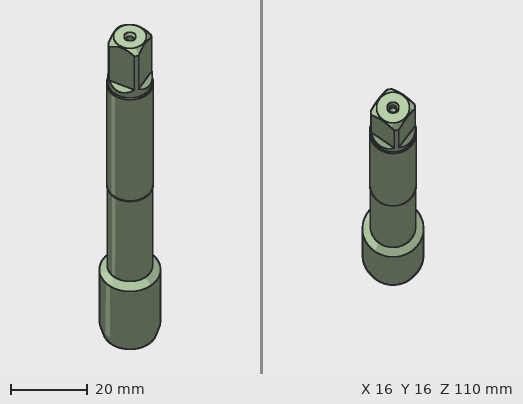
import cadquery as cq
import math

total_length = 110.0
end_point_height = 0.4
lead_length = 3.7
thread_length = 23.0
neck_start = 24.6
shank_start = 54.9
shank_end = 92.6
shank_bevel = 0.4

thread_diameter = 16.0
lead_end_diameter = 14.2
neck_diameter = 11.9
shank_diameter = 12.2
drive_diameter = 11.7

square_width = 9.0
square_length = 14.1
tip_diameter = 8.6
tip_bevel = (drive_diameter - tip_diameter) / 2

centre_diameter = 2.0
centre_mouth_diameter = 3.1
centre_depth = 2.8
centre_half_angle = math.radians(30)
drill_point_half_angle = math.radians(60)


def turned(profile):
    """Revolve (diameter, height) steps about Z; profiles start and end on the axis."""
    outline = [(diameter / 2, height) for diameter, height in profile]
    return cq.Workplane("XZ").polyline(outline).close().revolve(360, (0, 0), (0, 1))


def make_thread_section():
    """Plain threaded section with a tapered lead and a shallow conical end."""
    return turned([
        (0, 0),
        (lead_end_diameter, end_point_height),
        (thread_diameter, lead_length),
        (thread_diameter, thread_length),
        (0, thread_length),
    ])


def make_square_envelope():
    """Square prism that spreads at 45 degrees below the flats to clear the shank."""
    flats_bottom = total_length - square_length
    spread = (shank_diameter - square_width) / 2
    spread_bottom = flats_bottom - spread
    half_square = square_width / 2
    half_base = shank_diameter / 2
    outline = [
        (-half_base, thread_length),
        (half_base, thread_length),
        (half_base, spread_bottom),
        (half_square, flats_bottom),
        (half_square, total_length),
        (-half_square, total_length),
        (-half_square, flats_bottom),
        (-half_base, spread_bottom),
    ]
    across_x = cq.Workplane("XZ").polyline(outline).close().extrude(thread_diameter, both=True)
    across_y = across_x.rotate((0, 0, 0), (0, 0, 1), 90)
    collar = cq.Workplane("XY").workplane(offset=thread_length).circle(thread_diameter / 2)
    collar = collar.extrude(neck_start - thread_length)
    return across_x.intersect(across_y).union(collar)


def make_centre_hole():
    """Countersunk centre hole with a conical drill point."""
    countersink_depth = (centre_mouth_diameter - centre_diameter) / 2 / math.tan(centre_half_angle)
    point_length = centre_diameter / 2 / math.tan(drill_point_half_angle)
    drill_bottom = total_length - centre_depth
    return turned([
        (0, drill_bottom - point_length),
        (centre_diameter, drill_bottom),
        (centre_diameter, total_length - countersink_depth),
        (centre_mouth_diameter, total_length),
        (0, total_length),
    ])


def make_shank():
    """Shank with a neck below and a square drive at the upper end."""
    blank = turned([
        (0, thread_length),
        (thread_diameter, thread_length),
        (neck_diameter, neck_start),
        (neck_diameter, shank_start - shank_bevel),
        (shank_diameter, shank_start),
        (shank_diameter, shank_end),
        (drive_diameter, shank_end + shank_bevel),
        (drive_diameter, total_length - tip_bevel),
        (tip_diameter, total_length),
        (0, total_length),
    ])
    return blank.intersect(make_square_envelope()).cut(make_centre_hole())


thread_section = make_thread_section()
shank = make_shank()
result = cq.Compound.makeCompound([thread_section.val(), shank.val()])